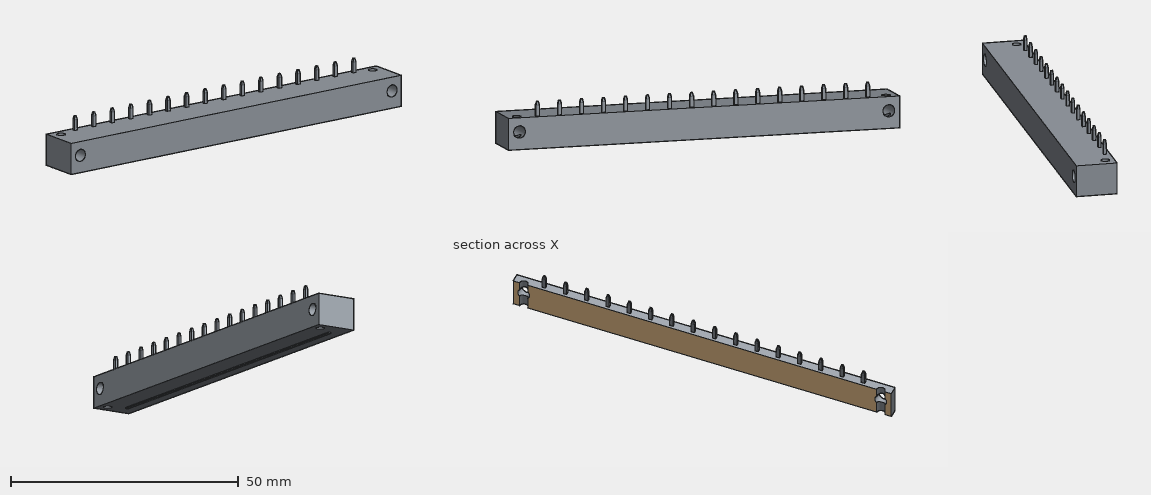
import cadquery as cq

body_width = 9.2
body_length = 90.3
body_height = 7.1

pin_count = 16
pin_row_length = 76.2
pin_thickness = 0.6
pin_breadth = 0.8
pin_height = 3.25
pin_edge_distance = 1.2
tip_height = 0.8
tip_thickness = 0.4
tip_breadth = 0.4

hole_end_distance = 2.5
vertical_hole_diameter = 1.9
vertical_hole_edge_distance = 2.1
cross_hole_diameter = 2.7
cross_hole_depth_from_top = 3.2

rib_height = 0.3
rib_width = 0.6
rib_length = 81.45
rib_edge_distance = 5.8

left_face = -body_width / 2
pin_pitch = pin_row_length / (pin_count - 1)
pin_root_z = body_height / 2
pin_row_x = left_face + pin_edge_distance
hole_y = body_length / 2 - hole_end_distance


def make_body():
    return cq.Workplane("XY").box(body_width, body_length, body_height, centered=(True, True, False))


def make_pin(y):
    """Rectangular pin, rooted in the body, with all four sides running in to a smaller tip."""
    shoulder_z = body_height + pin_height - tip_height
    shank = (
        cq.Workplane("XY", origin=(pin_row_x, y, pin_root_z))
        .rect(pin_thickness, pin_breadth)
        .extrude(shoulder_z - pin_root_z)
    )
    return (
        shank.faces(">Z")
        .workplane()
        .rect(pin_thickness, pin_breadth)
        .workplane(offset=tip_height)
        .rect(tip_thickness, tip_breadth)
        .loft(combine=True)
    )


def make_rib():
    return (
        cq.Workplane("XY", origin=(left_face + rib_edge_distance, 0, -rib_height))
        .box(rib_width, rib_length, rib_height, centered=(True, True, False))
    )


def make_holes(y):
    """One vertical and one crosswise through hole at the same end."""
    vertical = (
        cq.Workplane("XY", origin=(left_face + vertical_hole_edge_distance, y, 0))
        .circle(vertical_hole_diameter / 2)
        .extrude(body_height)
    )
    crosswise = (
        cq.Workplane("YZ", origin=(left_face, y, body_height - cross_hole_depth_from_top))
        .circle(cross_hole_diameter / 2)
        .extrude(body_width)
    )
    return vertical.union(crosswise)


result = make_body().union(make_rib())
for index in range(pin_count):
    result = result.union(make_pin((index - (pin_count - 1) / 2) * pin_pitch))
for y in (-hole_y, hole_y):
    result = result.cut(make_holes(y))